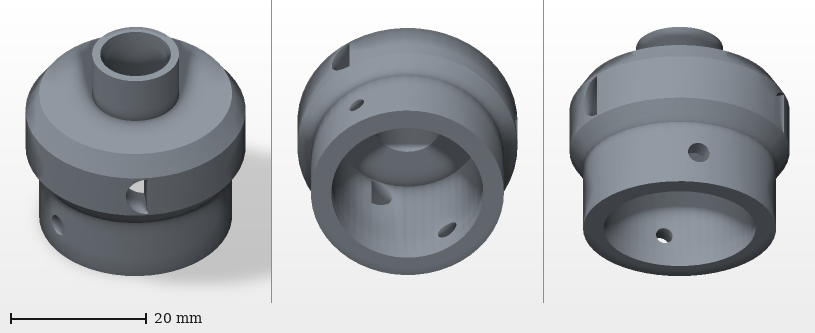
import cadquery as cq

BODY_DIAMETER = 28.4
COLLAR_DIAMETER = 32.4
LOWER_CONE_START = 10.0
COLLAR_BOTTOM = 13.0
COLLAR_TOP = 20.0
SHOULDER_HEIGHT = 23.0
TUBE_DIAMETER = 12.8
TOTAL_HEIGHT = 30.5

CAVITY_DIAMETER = 22.4
CAVITY_DEPTH = COLLAR_TOP
BORE_DIAMETER = 10.4

WINDOW_DIAMETER = 6.48
WINDOW_HEIGHT = (COLLAR_BOTTOM + COLLAR_TOP) / 2
WINDOW_ANGLES = (90, 210, 330)

CROSS_HOLE_HEIGHT = LOWER_CONE_START / 2
FRONT_HOLE_DIAMETER = 3.2
REAR_HOLE_DIAMETER = 2.5


def make_outer_body():
    body_radius = BODY_DIAMETER / 2
    collar_radius = COLLAR_DIAMETER / 2
    tube_radius = TUBE_DIAMETER / 2
    profile = [
        (0, 0),
        (body_radius, 0),
        (body_radius, LOWER_CONE_START),
        (collar_radius, COLLAR_BOTTOM),
        (collar_radius, COLLAR_TOP),
        (body_radius, SHOULDER_HEIGHT),
        (tube_radius, SHOULDER_HEIGHT),
        (tube_radius, TOTAL_HEIGHT),
        (0, TOTAL_HEIGHT),
    ]
    return cq.Workplane("XZ").polyline(profile).close().revolve(360, (0, 0), (0, 1))


def make_interior():
    cavity = cq.Workplane("XY").circle(CAVITY_DIAMETER / 2).extrude(CAVITY_DEPTH)
    bore = cq.Workplane("XY").circle(BORE_DIAMETER / 2).extrude(TOTAL_HEIGHT)
    return cavity.union(bore)


def make_window(angle):
    """Radial half cylinder whose flat side lies in the radial plane at the given angle."""
    radius = WINDOW_DIAMETER / 2
    return (
        cq.Workplane("YZ")
        .moveTo(0, WINDOW_HEIGHT - radius)
        .lineTo(0, WINDOW_HEIGHT + radius)
        .threePointArc((-radius, WINDOW_HEIGHT), (0, WINDOW_HEIGHT - radius))
        .close()
        .extrude(COLLAR_DIAMETER / 2)
        .rotate((0, 0, 0), (0, 0, 1), angle)
    )


def make_cross_hole(diameter, length):
    """Hole from the part axis outward; a positive length runs toward -Y."""
    return cq.Workplane("XZ").center(0, CROSS_HOLE_HEIGHT).circle(diameter / 2).extrude(length)


result = make_outer_body().cut(make_interior())

for window_angle in WINDOW_ANGLES:
    result = result.cut(make_window(window_angle))

result = result.cut(make_cross_hole(FRONT_HOLE_DIAMETER, BODY_DIAMETER / 2))
result = result.cut(make_cross_hole(REAR_HOLE_DIAMETER, -BODY_DIAMETER / 2))